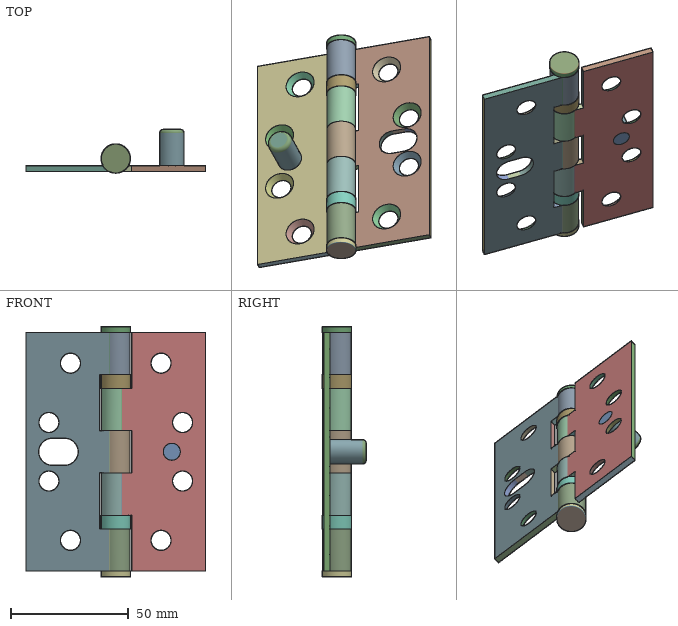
import cadquery as cq

TOTAL_HEIGHT = 106.4
TOTAL_WIDTH = 76.5
TOTAL_DEPTH = 18.7
CAP_HEIGHT = 2.5
LEAF_HEIGHT = TOTAL_HEIGHT - 2 * CAP_HEIGHT
HALF_HEIGHT = LEAF_HEIGHT / 2

RING_HEIGHT = 5.7
KNUCKLE_COUNT = 5
KNUCKLE_HEIGHT = (LEAF_HEIGHT - 2 * RING_HEIGHT) / KNUCKLE_COUNT
CAP_RADIUS = 6.3
CAP_EDGE_RADIUS = 0.2
RING_RADIUS = CAP_RADIUS
KNUCKLE_DIAMETER = 12.2
KNUCKLE_RADIUS = KNUCKLE_DIAMETER / 2

LEAF_THICKNESS = 2.6
LEAF_BACK_Y = -3.0
LEAF_FRONT_Y = LEAF_BACK_Y - LEAF_THICKNESS
LEAF_OUTER_X = TOTAL_WIDTH / 2
NOTCH_X = 6.7
KNUCKLE_FILLET = 0.27

JUNCTION_MARGIN = 1.1

PIN_RADIUS = KNUCKLE_RADIUS - LEAF_THICKNESS

HOLE_DIAMETER = 8.4
COUNTERSINK_DIAMETER = 12.5
INNER_HOLE_X = 19.3
INNER_HOLE_Z = 37.7
OUTER_HOLE_X = 28.4
OUTER_HOLE_Z = 12.5

STUD_X = 23.8
STUD_RADIUS = 5.2
STUD_SHANK_RADIUS = 3.6
STUD_TIP_Y = TOTAL_DEPTH - CAP_RADIUS
STUD_TIP_FILLET = 1.6
SLOT_X = 24.4
SLOT_LENGTH = 16.7
SLOT_HEIGHT = 11.4

CENTRE_KNUCKLE_Z = 0.0
INNER_KNUCKLE_Z = KNUCKLE_HEIGHT
RING_Z = 1.5 * KNUCKLE_HEIGHT + RING_HEIGHT / 2
END_KNUCKLE_Z = HALF_HEIGHT - KNUCKLE_HEIGHT / 2

LEFT = -1
RIGHT = 1
BOTTOM = -1
TOP = 1


def upright_cylinder(radius, height, centre_z):
    """Cylinder on the hinge axis."""
    return cq.Workplane("XY", origin=(0, 0, centre_z - height / 2)).circle(radius).extrude(height)


def leaf_block(side, inner_x, height, centre_z):
    """Plate of leaf thickness from inner_x to the outer edge of one leaf."""
    width = LEAF_OUTER_X - inner_x
    centre = (side * (inner_x + width / 2), LEAF_BACK_Y - LEAF_THICKNESS / 2, centre_z)
    return cq.Workplane("XY").box(width, LEAF_THICKNESS, height).translate(centre)


def front_sketch_plane():
    """Plane on the front face of the leaves: local x is X, local y is Z, the normal points to -Y."""
    return cq.Workplane("XZ", origin=(0, LEAF_FRONT_Y, 0))


def knuckle(side, centre_z):
    """Knuckle, not yet bored, blended into the tab that joins it to its leaf."""
    tab = leaf_block(side, 0, KNUCKLE_HEIGHT, centre_z)
    joined = upright_cylinder(KNUCKLE_RADIUS, KNUCKLE_HEIGHT, centre_z).union(tab)
    junction = cq.selectors.BoxSelector(
        (side * JUNCTION_MARGIN, LEAF_FRONT_Y - JUNCTION_MARGIN, centre_z - JUNCTION_MARGIN),
        (side * NOTCH_X, LEAF_BACK_Y + JUNCTION_MARGIN, centre_z + JUNCTION_MARGIN),
    )
    return joined.edges("|Z").edges(junction).fillet(KNUCKLE_FILLET)


def screw_hole(x, z):
    """Conical hole that widens from the front face of the leaf to the back face."""
    return (
        front_sketch_plane()
        .center(x, z)
        .circle(HOLE_DIAMETER / 2)
        .workplane(offset=-LEAF_THICKNESS)
        .circle(COUNTERSINK_DIAMETER / 2)
        .loft()
    )


def leaf(side, knuckle_centres):
    """Leaf plate with its knuckles, the pin bore and four screw holes."""
    body = leaf_block(side, NOTCH_X, LEAF_HEIGHT, 0)
    for centre_z in knuckle_centres:
        body = body.union(knuckle(side, centre_z))
    hole_points = [
        (side * x, z * half)
        for x, z in ((INNER_HOLE_X, INNER_HOLE_Z), (OUTER_HOLE_X, OUTER_HOLE_Z))
        for half in (BOTTOM, TOP)
    ]
    bore = upright_cylinder(PIN_RADIUS, LEAF_HEIGHT, 0)
    for x, z in hole_points:
        body = body.cut(screw_hole(x, z))
    return body.cut(bore)


def make_left_leaf():
    slot = (
        front_sketch_plane()
        .center(LEFT * SLOT_X, 0)
        .slot2D(SLOT_LENGTH, SLOT_HEIGHT)
        .extrude(-LEAF_THICKNESS)
    )
    return leaf(LEFT, (-END_KNUCKLE_Z, CENTRE_KNUCKLE_Z, END_KNUCKLE_Z)).cut(slot)


def make_right_leaf():
    rivet_hole = (
        front_sketch_plane().center(RIGHT * STUD_X, 0).circle(STUD_SHANK_RADIUS).extrude(-LEAF_THICKNESS)
    )
    return leaf(RIGHT, (-INNER_KNUCKLE_Z, INNER_KNUCKLE_Z)).cut(rivet_hole)


def make_stud():
    """Stud with a rounded tip behind the leaf and a thinner shank flush with the leaf's front face."""
    shank = front_sketch_plane().center(STUD_X, 0).circle(STUD_SHANK_RADIUS).extrude(-LEAF_THICKNESS)
    head = (
        cq.Workplane("XZ", origin=(STUD_X, LEAF_BACK_Y, 0))
        .circle(STUD_RADIUS)
        .extrude(LEAF_BACK_Y - STUD_TIP_Y)
        .faces(">Y")
        .edges()
        .fillet(STUD_TIP_FILLET)
    )
    return head.union(shank)


def make_ring(centre_z):
    ring = upright_cylinder(RING_RADIUS, RING_HEIGHT, centre_z)
    return ring.cut(upright_cylinder(PIN_RADIUS, RING_HEIGHT, centre_z))


def cap_disc(end):
    """Disc beyond one end of the barrel, with its outer rim rounded; end is TOP or BOTTOM."""
    disc = upright_cylinder(CAP_RADIUS, CAP_HEIGHT, end * (HALF_HEIGHT + CAP_HEIGHT / 2))
    outer_face = ">Z" if end == TOP else "<Z"
    return disc.faces(outer_face).edges().fillet(CAP_EDGE_RADIUS)


def make_pin():
    """Pin with its head in one piece; the shank ends flush with the bottom of the barrel."""
    return cap_disc(TOP).union(upright_cylinder(PIN_RADIUS, LEAF_HEIGHT, 0))


left_leaf = make_left_leaf()
right_leaf = make_right_leaf()
stud = make_stud()
pin = make_pin()
end_cap = cap_disc(BOTTOM)
rings = [make_ring(centre_z) for centre_z in (-RING_Z, RING_Z)]

result = cq.Compound.makeCompound(
    [left_leaf.val(), right_leaf.val(), stud.val(), pin.val(), end_cap.val()] + [ring.val() for ring in rings]
)